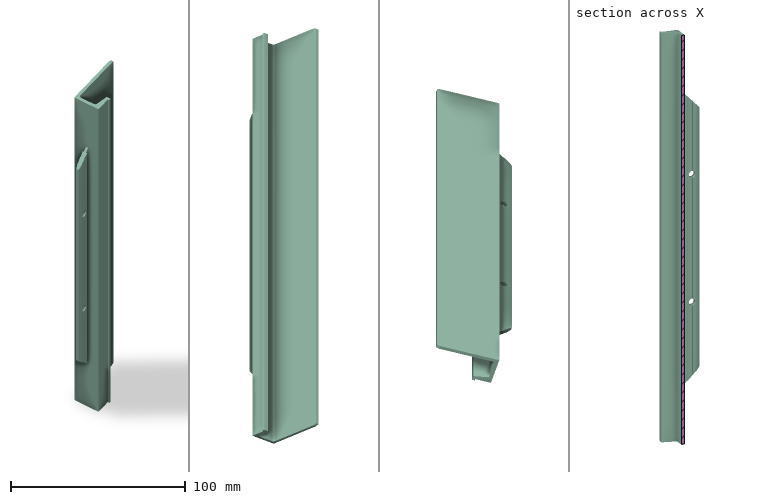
import cadquery as cq

length = 247.0
channel_depth = 37.0
base_width = 16.8
wall = 2.0
inner_fillet = 1.5

lip_height = 10.9
lip_root = 3.5
lip_top_inner_x = 15.0
bead_width = 1.0
bead_height = 1.5

bevel_depth = 1.7
bevel_rise = 0.7

fin_depth = 10.0
fin_root_length = 175.9
neck_depth = 2.2
neck_half_width = 0.7
barb_count = 3
barb_half_width = 1.5
barb_taper = 0.2
tip_half_width = 0.7

hole_diameter = 4.0
hole_spacing = 77.0

fin_center_x = 9.0


def make_channel():
    """J-shaped section with the base on Y = 0 and the tall wall on X = 0."""
    section = (
        cq.Workplane("XY")
        .moveTo(0, 0)
        .lineTo(base_width, 0)
        .lineTo(base_width, lip_height - bead_height)
        .lineTo(base_width + bead_width, lip_height - bead_height)
        .lineTo(base_width + bead_width, lip_height)
        .lineTo(lip_top_inner_x, lip_height)
        .lineTo(base_width - lip_root, wall)
        .lineTo(wall, wall)
        .lineTo(wall, channel_depth)
        .lineTo(0, channel_depth)
        .close()
    )
    channel = section.extrude(length / 2, both=True)
    corners = cq.selectors.BoxSelector(
        (wall / 2, wall / 2, -length),
        (base_width - lip_root / 2, wall * 1.5, length),
        boundingbox=False,
    )
    return channel.edges("|Z").edges(corners).fillet(inner_fillet)


def make_bevel_cutter(end):
    """Wedge removing the wall corner at the top (end = 1) or bottom (end = -1)."""
    return (
        cq.Workplane("YZ")
        .polyline([
            (channel_depth - bevel_depth, end * length / 2),
            (channel_depth, end * length / 2),
            (channel_depth, end * (length / 2 - bevel_rise)),
        ])
        .close()
        .extrude(wall)
    )


def make_fin():
    """Fin whose barbs taper towards the tip, with both ends cut at 45 degrees."""
    barb_pitch = (fin_depth - neck_depth) / barb_count
    flank = [(neck_half_width, -wall / 2), (neck_half_width, neck_depth)]
    for i in range(barb_count):
        start = neck_depth + i * barb_pitch
        flank.append((barb_half_width, start))
        is_last = i == barb_count - 1
        end_half_width = tip_half_width if is_last else barb_half_width - barb_taper
        flank.append((end_half_width, start + barb_pitch))
    right_side = [(fin_center_x + half, -depth) for half, depth in flank]
    left_side = [(fin_center_x - half, -depth) for half, depth in reversed(flank)]
    fin = cq.Workplane("XY").polyline(right_side + left_side).close().extrude(length / 2, both=True)

    half_root = fin_root_length / 2
    half_tip = half_root - fin_depth
    outline = (
        cq.Workplane("YZ")
        .polyline([
            (wall / 2, -half_root),
            (0, -half_root),
            (-fin_depth, -half_tip),
            (-fin_depth, half_tip),
            (0, half_root),
            (wall / 2, half_root),
        ])
        .close()
        .extrude(base_width)
    )
    holes = (
        cq.Workplane("YZ")
        .pushPoints([(-fin_depth / 2, side * hole_spacing / 2) for side in (-1, 1)])
        .circle(hole_diameter / 2)
        .extrude(base_width)
    )
    return fin.intersect(outline).cut(holes)


channel = make_channel()
for end in (-1, 1):
    channel = channel.cut(make_bevel_cutter(end))

result = channel.union(make_fin())